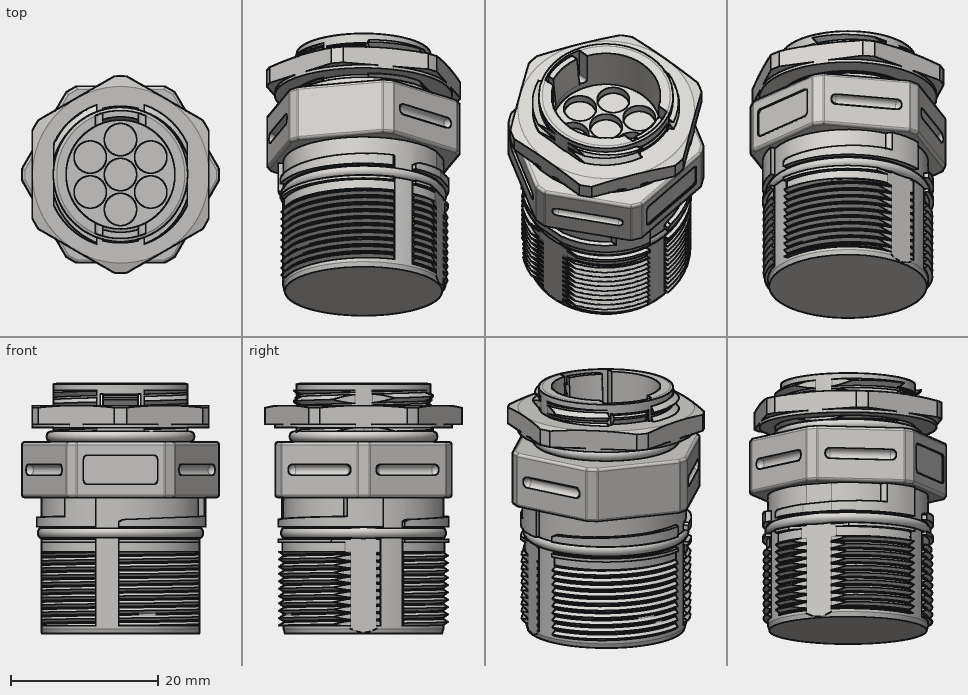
import cadquery as cq
import math

total_height = 34.0
bottom_taper_height = 0.7
lower_thread_bottom = 1.1
lower_thread_top = 11.1
stop_flange_bottom = 12.4
stop_flange_top = 12.85
lower_ring_z = 13.68
ramp_flange_bottom = 14.5
hex_bottom = 18.5
hex_top = 26.05
upper_ring_z = 26.78
upper_thread_bottom = 27.5
nut_bottom = 28.0
nut_collar_top = 28.45
nut_top = 31.0
upper_thread_top = 33.1

hex_flats = 24.0
hex_corners = 26.8
hex_edge_fillet = 0.4
nut_collar_radius = 12.05
nut_bevel_radius = 12.0
nut_bevel_drop = 0.3

barrel_radius = 10.9
barrel_end_radius = 10.7
barrel_flats = 21.5
lower_thread_radius = 11.5
lower_thread_pitch = 1.0
lower_thread_start = 0.35
lower_thread_base = 0.8
collar_radius = 11.05
flange_radius = 11.6
flange_flats = 22.82
segment_count = 3
segment_angle = 360 / segment_count
gap_start_x = -3.35
gap_end_x = -0.25
narrow_gap_end_x = -1.38
narrow_gap_wall_x = -6.8
lug_start_x = -7.6
strip_inner_y = -7.0
ramp_lead_height = 0.7
ramp_shoulder_height = 1.0
ramp_shoulder_length = 0.55
ramp_end_height = 1.45

neck_radius = 9.13
neck_bevel_width = 0.43
neck_bevel_drop = 0.1
bore_radius = 7.4
bore_depth = 6.7
upper_thread_radius = 10.0
upper_thread_pitch = 1.5
upper_thread_start = 31.925
upper_thread_base = 1.2
upper_thread_flats = 18.1
thread_gap_width = 6.4

sleeve_radius = 8.7
tab_width = 4.8
tab_top = 33.5
tab_thinning = 0.45
slit_width = 1.05
slit_bottom = 28.4
slit_inner_y = 6.0
window_width = 5.5
window_top = 32.55
latch_radius = 9.3
latch_top = 32.35
latch_bevel = 0.3
latch_edge = 31.8
latch_root = 0.3

cable_hole_radius = 2.2
cable_hole_spacing = 4.75
cable_hole_depth = 1.4

lower_ring_radius = 11.25
lower_ring_tube = 0.82
upper_ring_radius = 10.06
upper_ring_tube = 0.75

groove_length = 9.8
groove_width = 1.47
label_width = 10.06
label_height = 4.0
label_depth = 0.2
label_corner = 0.6

beyond = 20.0
thread_overlap = 0.12
arc_margin = 2.0


def cylinder(radius, bottom, top):
    return cq.Workplane("XY").workplane(offset=bottom).circle(radius).extrude(top - bottom)


def block(x_range, y_range, z_range):
    """Box given by its limits along each axis."""
    sizes = [high - low for low, high in (x_range, y_range, z_range)]
    corner = (x_range[0], y_range[0], z_range[0])
    return cq.Workplane("XY").box(*sizes, centered=False).translate(corner)


def revolved(profile):
    """Solid of revolution about Z from a closed outline of radius and height."""
    return cq.Workplane("XZ").polyline(profile).close().revolve(360, (0, 0, 0), (0, 1, 0))


def slab(width, bottom, top):
    """Wide slab between two planes facing -X and +X."""
    return block((-width / 2, width / 2), (-beyond, beyond), (bottom, top))


def blunt_hexagon(bottom, top, corner_angle):
    """Hexagonal prism with flats cut across its corners."""
    height = top - bottom
    base = cq.Workplane("XY").workplane(offset=bottom)
    prism = base.polygon(6, hex_flats / math.cos(math.pi / 6)).extrude(height)
    trim = base.polygon(6, hex_corners / math.cos(math.pi / 6)).extrude(height)
    trim = trim.rotate((0, 0, 0), (0, 0, 1), 30)
    return prism.intersect(trim).rotate((0, 0, 0), (0, 0, 1), corner_angle)


def thread(root, crest, pitch, base, start, arcs, mask, bottom, top):
    """Right-hand thread of triangular ridges over the given arcs, between two heights.

    The ridge passes the height `start` in the direction of +X. Each arc is a pair of angles, and
    its ridge is a ring sector tilted by the lead angle, which follows the helix closely.
    The mask trims the ridges sideways.
    """
    inner = root - thread_overlap
    half_base = base / 2 * (crest - inner) / (crest - root)
    section = [(inner, -half_base), (crest, 0), (inner, half_base)]
    span = cylinder(beyond, bottom, top)
    pieces = []
    lead_angle = math.degrees(math.atan(pitch / (2 * math.pi * root)))
    for begin, end in arcs:
        sweep = end - begin
        middle = (begin + end) / 2
        reach = half_base + pitch * sweep / 360 / 2
        ridge = cq.Workplane("XZ").polyline(section).close().revolve(sweep, (0, 0, 0), (0, 1, 0))
        ridge = ridge.rotate((0, 0, 0), (0, 0, 1), -sweep / 2).rotate((0, 0, 0), (1, 0, 0), lead_angle)
        ridge = ridge.rotate((0, 0, 0), (0, 0, 1), middle).intersect(mask)
        first_turn = math.ceil((bottom - reach - start) / pitch - middle / 360)
        height = start + pitch * (first_turn + middle / 360)
        while height < top + reach:
            turn = ridge.translate((0, 0, height))
            if height - reach < bottom or height + reach > top:
                turn = turn.intersect(span)
            pieces += turn.solids().vals()
            height += pitch
    return cq.Workplane(cq.Compound.makeCompound(pieces))


def thread_mask(root, flats):
    """Space for thread ridges between two flats, clear of where the flats lie inside the root."""
    half_flat = math.sqrt(root**2 - (flats / 2) ** 2)
    bare = block((-beyond, beyond), (-half_flat, half_flat), (-beyond, beyond))
    return slab(flats, -beyond, beyond).cut(bare)


def sealing_ring(outer_radius, tube, height):
    center = outer_radius - tube
    section = cq.Workplane("XZ").center(-center, height).circle(tube)
    return section.revolve(360, (center, 0, 0), (center, 1, 0))


def barrel_core():
    """Tapered cylinder with two flats that carries the lower thread."""
    profile = [
        (0, 0),
        (barrel_end_radius, 0),
        (barrel_radius, bottom_taper_height),
        (barrel_radius, hex_bottom),
        (0, hex_bottom),
    ]
    core = revolved(profile)
    return core.intersect(slab(barrel_flats, 0, hex_bottom))


def turned(solid, index):
    """Solid moved to one of the places spaced evenly about the barrel."""
    return solid.rotate((0, 0, 0), (0, 0, 1), index * segment_angle)


def barrel_gaps():
    """Lengthwise channels that interrupt the thread and the flanges."""
    y_range = (-beyond, strip_inner_y)
    z_range = (-beyond, hex_bottom)
    gap = block((gap_start_x, gap_end_x), y_range, z_range)
    narrow = turned(block((-beyond, narrow_gap_end_x), y_range, z_range), 2)
    narrow = narrow.intersect(block((-beyond, narrow_gap_wall_x), (0, beyond), z_range))
    return gap.union(turned(gap, 1)).union(narrow)


def lower_thread():
    begin = math.degrees(math.asin(narrow_gap_end_x / barrel_radius)) - 90 - arc_margin
    end = begin + segment_angle
    arcs = [(begin + index * segment_angle, end + index * segment_angle) for index in range(segment_count)]
    mask = thread_mask(barrel_radius, barrel_flats).cut(barrel_gaps())
    return thread(
        barrel_radius,
        lower_thread_radius,
        lower_thread_pitch,
        lower_thread_base,
        lower_thread_start,
        arcs,
        mask,
        lower_thread_bottom,
        lower_thread_top,
    )


def stop_flange():
    collar = cylinder(collar_radius, lower_thread_top, stop_flange_bottom)
    flange = cylinder(flange_radius, stop_flange_bottom, stop_flange_top)
    return collar.union(flange).intersect(slab(barrel_flats, 0, hex_bottom))


def ramp_segment(start_x):
    """Quarter of the flange whose top rises away from its start beside a channel."""
    ramp = (
        cq.Workplane("XZ")
        .moveTo(start_x, ramp_flange_bottom)
        .lineTo(start_x, ramp_flange_bottom + ramp_lead_height)
        .lineTo(start_x + ramp_shoulder_length, ramp_flange_bottom + ramp_shoulder_height)
        .lineTo(flange_radius, ramp_flange_bottom + ramp_end_height)
        .lineTo(flange_radius, ramp_flange_bottom)
        .close()
        .extrude(beyond)
    )
    return cylinder(flange_radius, ramp_flange_bottom, hex_bottom).intersect(ramp)


def lug(top):
    """Raised sector that closes a flange segment just before the next channel."""
    strip = block((lug_start_x, gap_start_x), (-beyond, strip_inner_y), (ramp_flange_bottom, top))
    return cylinder(flange_radius, ramp_flange_bottom, top).intersect(strip)


def ramp_flange():
    """Flange of rising segments, two ending at tall lugs and one at a low lug."""
    flange = ramp_segment(gap_end_x).union(turned(ramp_segment(gap_end_x), 1))
    flange = flange.union(turned(ramp_segment(narrow_gap_end_x), 2))
    flange = flange.intersect(slab(flange_flats, 0, hex_bottom))
    low_lug = lug(ramp_flange_bottom + ramp_end_height)
    return flange.union(lug(hex_bottom)).union(turned(lug(hex_bottom), 1)).union(turned(low_lug, 2))


def hexagon_face(angle):
    """Workplane on the middle of the hexagon face whose outward normal has this angle."""
    direction = (math.cos(math.radians(angle)), math.sin(math.radians(angle)), 0)
    along = (-direction[1], direction[0], 0)
    middle = (hex_flats / 2 * direction[0], hex_flats / 2 * direction[1], (hex_bottom + hex_top) / 2)
    return cq.Workplane(cq.Plane(origin=middle, xDir=along, normal=direction))


def groove(angle):
    """Trough with a half-round section and rounded ends."""
    radius = groove_width / 2
    straight = groove_length - groove_width
    outline = (
        hexagon_face(angle)
        .moveTo(-groove_length / 2, 0)
        .radiusArc((-straight / 2, radius), radius)
        .lineTo(straight / 2, radius)
        .radiusArc((groove_length / 2, 0), radius)
        .close()
    )
    return outline.revolve(360, (0, 0, 0), (1, 0, 0))


def hexagon_body():
    body = blunt_hexagon(hex_bottom, hex_top, 0).edges().fillet(hex_edge_fillet)
    for angle in (30, 150, 210, 330):
        body = body.cut(groove(angle))
    label = hexagon_face(270).rect(label_width, label_height).extrude(-label_depth)
    return body.cut(label.edges("|Y").fillet(label_corner))


def lock_nut():
    """Hexagonal nut with a round collar below and a beveled top."""
    bevel_end = hex_corners / 2
    profile = [
        (0, nut_bottom),
        (nut_collar_radius, nut_bottom),
        (nut_collar_radius, nut_collar_top),
        (bevel_end, nut_collar_top),
        (bevel_end, nut_top - nut_bevel_drop),
        (nut_bevel_radius, nut_top),
        (0, nut_top),
    ]
    envelope = revolved(profile)
    return blunt_hexagon(nut_bottom, nut_top, 30).intersect(envelope)


def upper_thread():
    half_gap = thread_gap_width / 2
    gap = block((-half_gap, half_gap), (-beyond, beyond), (-beyond, beyond))
    mask = thread_mask(neck_radius, upper_thread_flats).cut(gap)
    arc = math.degrees(math.acos(half_gap / upper_thread_radius)) + arc_margin
    arcs = [(-arc, 0), (0, arc), (180 - arc, 180), (180, 180 + arc)]
    return thread(
        neck_radius,
        upper_thread_radius,
        upper_thread_pitch,
        upper_thread_base,
        upper_thread_start,
        arcs,
        mask,
        upper_thread_bottom,
        upper_thread_top,
    )


def latch_cut():
    """Space around one latch tab: two slits, a window and the room above the tab."""
    half_tab = tab_width / 2
    slit_middle = half_tab + slit_width / 2
    round_z = slit_bottom + slit_width / 2
    sleeve = cylinder(sleeve_radius, 0, total_height)
    room = block((-half_tab, half_tab), (slit_inner_y, beyond), (tab_top, total_height))
    for side in (-1, 1):
        x = side * slit_middle
        limits = (x - slit_width / 2, x + slit_width / 2)
        slit = block(limits, (slit_inner_y, beyond), (round_z, total_height))
        end = cq.Workplane("XZ").center(x, round_z).circle(slit_width / 2).extrude(-beyond)
        end = end.intersect(block(limits, (slit_inner_y, beyond), (0, total_height)))
        room = room.union(slit).union(end)
    half_window = window_width / 2
    window = block((-half_window, half_window), (slit_inner_y, beyond), (nut_top, window_top))
    window = window.cut(sleeve)
    return room.intersect(sleeve).union(window)


def latch():
    """Catch on the outside of one tab, undercut below and filling most of the window."""
    profile = [
        (sleeve_radius - latch_root, nut_top),
        (sleeve_radius, nut_top),
        (latch_radius, latch_edge),
        (latch_radius, latch_top - latch_bevel),
        (latch_radius - latch_bevel, latch_top),
        (sleeve_radius - latch_root, latch_top),
    ]
    ring = revolved(profile)
    half_tab = tab_width / 2
    return ring.intersect(block((-half_tab, half_tab), (0, beyond), (nut_top, total_height)))


def tab_slope():
    """Slope that thins one tab from the foot of its slits to its top."""
    profile = [
        (bore_radius, slit_bottom),
        (bore_radius + tab_thinning, tab_top),
        (bore_radius, tab_top),
    ]
    ring = revolved(profile)
    half_tab = tab_width / 2
    return ring.intersect(block((-half_tab, half_tab), (0, beyond), (slit_bottom, total_height)))


def cable_holes():
    floor = total_height - bore_depth
    plane = cq.Workplane("XY").workplane(offset=floor)
    places = plane.polarArray(cable_hole_spacing, 30, 360, 6)
    ring = places.circle(cable_hole_radius).extrude(-cable_hole_depth)
    middle = plane.circle(cable_hole_radius).extrude(-cable_hole_depth)
    return ring.union(middle)


def neck():
    profile = [
        (0, hex_bottom),
        (neck_radius, hex_bottom),
        (neck_radius, total_height - neck_bevel_drop),
        (neck_radius - neck_bevel_width, total_height),
        (0, total_height),
    ]
    return revolved(profile)


flanges = stop_flange().union(ramp_flange()).cut(barrel_gaps())
barrel = barrel_core().union(flanges)
barrel = barrel.union(sealing_ring(lower_ring_radius, lower_ring_tube, lower_ring_z))

top = neck().union(lock_nut())
top = top.union(sealing_ring(upper_ring_radius, upper_ring_tube, upper_ring_z))
top = top.cut(cylinder(bore_radius, total_height - bore_depth, total_height)).cut(cable_holes())
for turn_angle in (0, 180):
    space = latch_cut().union(tab_slope()).rotate((0, 0, 0), (0, 0, 1), turn_angle)
    top = top.cut(space).union(latch().rotate((0, 0, 0), (0, 0, 1), turn_angle))

result = barrel.union(hexagon_body()).union(top)
result = result.union(upper_thread(), clean=False).union(lower_thread(), clean=False)